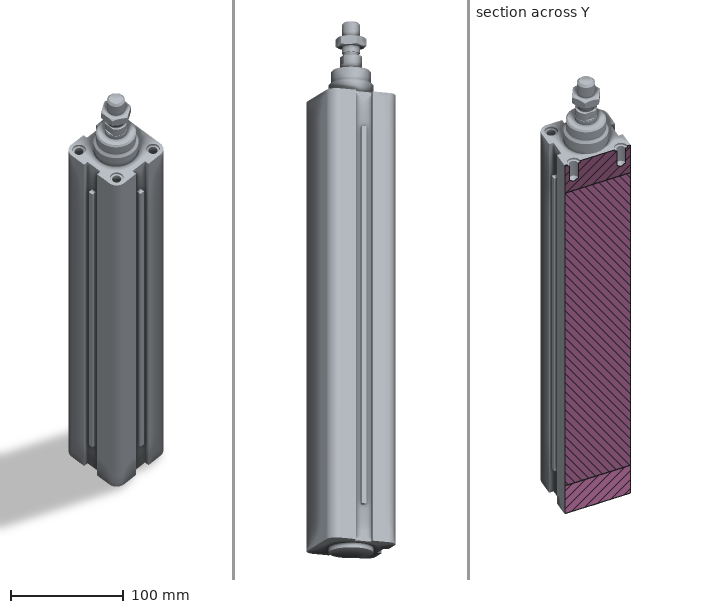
import cadquery as cq
import math


total_height = 484.0
rear_boss_height = 4.5
tube_bottom = 37.8
tube_top = 382.5
front_cap_top = 415.0

side = 65.0
corner_radius = 9.0
slot_width = 16.0
slot_depth = 4.5
slot_floor = side / 2 - slot_depth
slot_angles = (-90, 0, 180)

rib_width = 4.5

boss_diameter = 40.0
nose_diameter = 36.0
collar_top = 426.5
nose_base = 429.0
nose_top = 440.0
nose_chamfer = 1.5

screw_spacing = 46.5
recess_diameter = 12.0
recess_depth = 2.0
screw_hole_diameter = 8.0
screw_hole_depth = 19.5
drill_point_angle = 118

rod_diameter = 20.0
rod_end_diameter = 19.5
rod_end_base = 444.5
rod_end_top = 453.0
flat_size = 17.0
flat_base = 445.5
groove_diameter = 14.5
groove_top = 456.0
thread_diameter = 16.0
thread_chamfer = 2.0

nut_sides = 6
nut_size = 24.0
nut_base = 461.5
nut_height = 8.0
nut_corners = nut_size / math.cos(math.pi / nut_sides)
nut_chamfer_angle = 30


def cylinder(diameter, bottom, top):
    """Cylinder on the Z axis."""
    return cq.Workplane("XY").workplane(offset=bottom).circle(diameter / 2).extrude(top - bottom)


def box(x_min, x_max, width, bottom, top):
    """Block from x_min to x_max, centred on Y."""
    block = cq.Workplane("XY").box(x_max - x_min, width, top - bottom, centered=(False, True, False))
    return block.translate((x_min, 0, bottom))


def revolved(points):
    """Solid of revolution about the Z axis from a closed outline of (radius, height) points."""
    return cq.Workplane("XZ").polyline(points).close().revolve(360, (0, 0, 0), (0, 1, 0))


def turned(angle, shape):
    """The shape turned about the Z axis."""
    return shape.rotate((0, 0, 0), (0, 0, 1), angle)


def slotted_block(bottom, top):
    """Rounded square prism with a slot along each slotted face."""
    block = box(-side / 2, side / 2, side, bottom, top).edges("|Z").fillet(corner_radius)
    slot = box(slot_floor, side, slot_width, bottom, top)
    for angle in slot_angles:
        block = block.cut(turned(angle, slot))
    return block


def make_rear_cap():
    return slotted_block(rear_boss_height, tube_bottom).union(cylinder(boss_diameter, 0, rear_boss_height))


def make_tube():
    tube = slotted_block(tube_bottom, tube_top)
    rib = box(slot_floor - slot_depth, side / 2, rib_width, tube_bottom, tube_top)
    for angle in slot_angles:
        tube = tube.union(turned(angle, rib))
    return tube


def make_screw_hole():
    """Recessed blind hole with a drilled point, its mouth at the origin and running down."""
    hole_radius = screw_hole_diameter / 2
    point_depth = hole_radius / math.tan(math.radians(drill_point_angle / 2))
    return revolved(
        [
            (0, 0),
            (recess_diameter / 2, 0),
            (recess_diameter / 2, -recess_depth),
            (hole_radius, -recess_depth),
            (hole_radius, -screw_hole_depth),
            (0, -screw_hole_depth - point_depth),
        ]
    )


def make_front_cap():
    boss_radius = boss_diameter / 2
    nose_radius = nose_diameter / 2
    nose = revolved(
        [
            (0, tube_top),
            (boss_radius, tube_top),
            (boss_radius, collar_top),
            (nose_radius, nose_base),
            (nose_radius, nose_top - nose_chamfer),
            (nose_radius - nose_chamfer, nose_top),
            (0, nose_top),
        ]
    )
    cap = slotted_block(tube_top, front_cap_top).union(nose)
    cap = cap.cut(cylinder(rod_diameter, tube_top, nose_top))
    for x_sign in (-1, 1):
        for y_sign in (-1, 1):
            centre = (x_sign * screw_spacing / 2, y_sign * screw_spacing / 2, front_cap_top)
            cap = cap.cut(make_screw_hole().translate(centre))
    return cap


def make_rod():
    """Rod standing on the tube end, with a flatted end, a groove and a threaded tip."""
    rod_end = cylinder(rod_end_diameter, rod_end_base, rod_end_top)
    flat_cut = box(flat_size / 2, rod_diameter, rod_diameter, flat_base, rod_end_top)
    for angle in (-90, 90):
        rod_end = rod_end.cut(turned(angle, flat_cut))
    tip = cylinder(thread_diameter, groove_top, total_height).faces(">Z").chamfer(thread_chamfer)
    return (
        cylinder(rod_diameter, tube_top, rod_end_base)
        .union(rod_end)
        .union(cylinder(groove_diameter, rod_end_top, groove_top))
        .union(tip)
    )


def make_nut():
    """Hexagon nut, corners along X, with both ends turned to a cone that trims the corners."""
    flat_radius = nut_size / 2
    tip_radius = nut_corners / 2
    trim = (tip_radius - flat_radius) * math.tan(math.radians(nut_chamfer_angle))
    nut_top = nut_base + nut_height
    hexagon = cq.Workplane("XY").workplane(offset=nut_base).polygon(nut_sides, nut_corners).extrude(nut_height)
    envelope = revolved(
        [
            (0, nut_base),
            (flat_radius, nut_base),
            (tip_radius, nut_base + trim),
            (tip_radius, nut_top - trim),
            (flat_radius, nut_top),
            (0, nut_top),
        ]
    )
    return hexagon.intersect(envelope).cut(cylinder(thread_diameter, nut_base, nut_top))


rear_cap = make_rear_cap()
tube = make_tube()
front_cap = make_front_cap()
rod = make_rod()
nut = make_nut()

result = cq.Compound.makeCompound([rear_cap.val(), tube.val(), front_cap.val(), rod.val(), nut.val()])